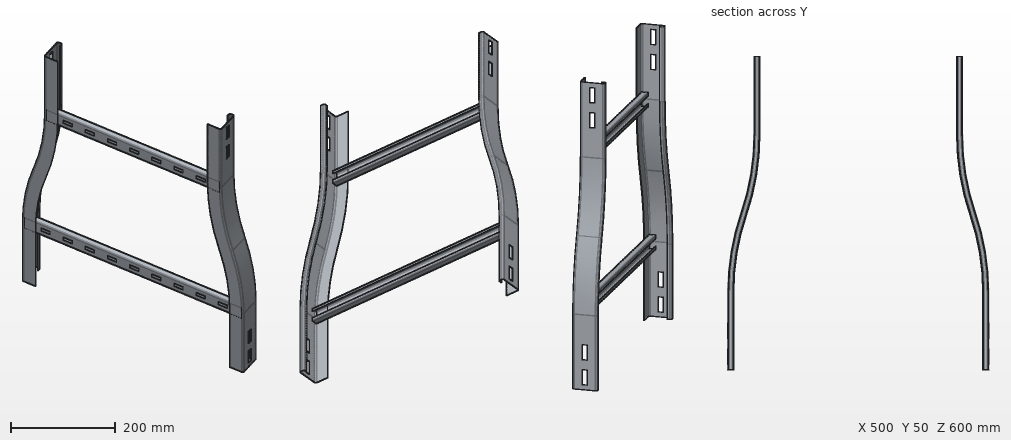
import cadquery as cq
import math

frame_height = 600.0
top_width = 400.0
bottom_width = 500.0
rail_depth = 50.0

front_flange = 31.0
back_flange = 12.0
hook_lip = 9.0
rail_sheet = 2.0
rail_bend_radius = 4.0
curve_start = 150.0
rail_slot_length = 30.0
rail_slot_width = 10.0
rail_slot_end_distance = 25.0
rail_slot_pitch = 50.0
rail_slots_per_end = 2

rung_height = 30.0
rung_depth = 15.0
rung_lip = 7.5
rung_sheet = 1.5
rung_bend_radius = 2.0
rung_end_distance = 5.0
rung_slot_length = 20.0
rung_slot_offset = 2.5
rung_slot_width = 7.0
rung_slot_pitch = 50.0
lower_rung_slots = 9
upper_rung_slots = 7

curve_end = frame_height - curve_start
side_shift = (bottom_width - top_width) / 2
half_rise = (curve_end - curve_start) / 2
half_shift = side_shift / 2
curve_radius = (half_rise**2 + half_shift**2) / (2 * half_shift)

rail_cut_depth = 4 * rail_sheet
rung_cut_depth = rail_sheet + 2 * rung_sheet

y_front = -rail_depth / 2
lower_web_x = -bottom_width / 2
upper_web_x = -top_width / 2


def arc_side_travel(height):
    """Sideways travel of a curve arc at a height above (or below) its straight end."""
    return curve_radius - math.sqrt(curve_radius**2 - height**2)


def bent_strip(plane, start, heading, legs, sheet, bend_radius):
    """Outline of a sheet strip whose outer face follows the legs, turning right 90 degrees at each bend."""
    corner = cq.Vector(*start)
    along = cq.Vector(*heading)
    inward = cq.Vector(along.y, -along.x)
    inner_radius = bend_radius - sheet
    outer_start = corner
    inner_start = corner + inward * sheet
    bends = []
    for leg in legs[:-1]:
        corner = corner + along * leg
        centre = corner + (inward - along) * bend_radius
        diagonal = (along - inward) * math.sqrt(0.5)
        bends.append((centre, along, inward, diagonal))
        along, inward = inward, along * -1
    outer_end = corner + along * legs[-1]
    inner_end = outer_end + inward * sheet

    outline = cq.Workplane(plane).moveTo(outer_start.x, outer_start.y)
    for centre, before, after, diagonal in bends:
        arc_start = centre - after * bend_radius
        arc_middle = centre + diagonal * bend_radius
        arc_end = centre + before * bend_radius
        outline = outline.lineTo(arc_start.x, arc_start.y)
        outline = outline.threePointArc((arc_middle.x, arc_middle.y), (arc_end.x, arc_end.y))
    outline = outline.lineTo(outer_end.x, outer_end.y).lineTo(inner_end.x, inner_end.y)
    for centre, before, after, diagonal in reversed(bends):
        arc_start = centre + before * inner_radius
        arc_middle = centre + diagonal * inner_radius
        arc_end = centre - after * inner_radius
        outline = outline.lineTo(arc_start.x, arc_start.y)
        outline = outline.threePointArc((arc_middle.x, arc_middle.y), (arc_end.x, arc_end.y))
    return outline.lineTo(inner_start.x, inner_start.y).close()


def rail_path():
    """Line of the web's outer face from bottom to top: straight, S-curve, straight."""
    middle_x = lower_web_x + half_shift
    middle_z = curve_start + half_rise
    quarter_rise = half_rise / 2
    quarter_shift = arc_side_travel(quarter_rise)
    return (
        cq.Workplane("XZ")
        .moveTo(lower_web_x, 0)
        .lineTo(lower_web_x, curve_start)
        .threePointArc((lower_web_x + quarter_shift, curve_start + quarter_rise), (middle_x, middle_z))
        .threePointArc((upper_web_x - quarter_shift, curve_end - quarter_rise), (upper_web_x, curve_end))
        .lineTo(upper_web_x, frame_height)
    )


def rail_slots():
    """Cutters for the slots through the web near both ends of the left rail."""
    slots = cq.Workplane("XY")
    for index in range(rail_slots_per_end):
        end_distance = rail_slot_end_distance + index * rail_slot_pitch
        for web_x, z in ((lower_web_x, end_distance), (upper_web_x, frame_height - end_distance)):
            slot = cq.Workplane("XY").box(rail_cut_depth, rail_slot_width, rail_slot_length)
            slots = slots.add(slot.translate((web_x, 0, z)))
    return slots.combine()


def make_left_rail():
    section = bent_strip(
        "XY",
        start=(lower_web_x + front_flange, y_front),
        heading=(-1, 0),
        legs=(front_flange, rail_depth, back_flange, hook_lip),
        sheet=rail_sheet,
        bend_radius=rail_bend_radius,
    )
    return section.sweep(rail_path()).cut(rail_slots())


def make_rung(z, half_length, slot_count):
    """Rung centred at height z, seated on the back of the rails' front flanges."""
    rung_front = y_front + rail_sheet
    section = bent_strip(
        "YZ",
        start=(rung_front + rung_depth, z - rung_height / 2 + rung_lip),
        heading=(0, -1),
        legs=(rung_lip, rung_depth, rung_height, rung_depth, rung_lip),
        sheet=rung_sheet,
        bend_radius=rung_bend_radius,
    )
    bar = section.extrude(2 * half_length).translate((-half_length, 0, 0))
    slots = (
        cq.Workplane("XZ", origin=(rung_slot_offset, y_front, z))
        .rarray(rung_slot_pitch, 1, slot_count, 1)
        .rect(rung_slot_length, rung_slot_width)
        .extrude(-rung_cut_depth)
    )
    return bar.cut(slots)


left_rail = make_left_rail()
right_rail = left_rail.mirror("YZ")
lower_rung = make_rung(curve_start, bottom_width / 2 - rung_end_distance, lower_rung_slots)
upper_rung = make_rung(curve_end, top_width / 2 - rung_end_distance, upper_rung_slots)

result = cq.Compound.makeCompound(
    [left_rail.val(), right_rail.val(), lower_rung.val(), upper_rung.val()]
)